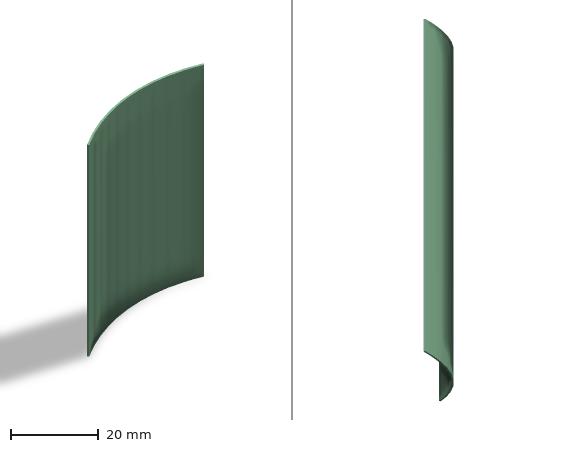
import cadquery as cq
import math

width_x = 18.77
depth_y = 29.97
height = 80.0
thickness = 0.5

end_angle = math.radians(34.0)

start_leg = 10.0
end_leg = 16.0

outer_end_x = width_x - thickness * math.sin(end_angle)

outer_curve_points = [
    cq.Vector(0, 0, 0),
    cq.Vector(0, start_leg, 0),
    cq.Vector(
        outer_end_x - end_leg * math.cos(end_angle),
        depth_y - end_leg * math.sin(end_angle),
        0,
    ),
    cq.Vector(outer_end_x, depth_y, 0),
]


def make_strip():
    """Raise the outer curve into a wall surface and thicken it toward the inside of the bend."""
    bottom_edge = cq.Edge.makeBezier(outer_curve_points)
    top_edge = bottom_edge.translate(cq.Vector(0, 0, height))
    outer_surface = cq.Face.makeRuledSurface(bottom_edge, top_edge)
    return outer_surface.thicken(thickness)


result = cq.Workplane("XY").newObject([make_strip()])